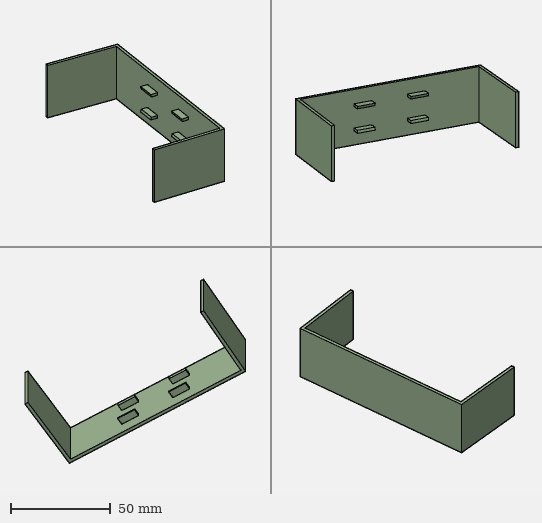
import cadquery as cq
import math

length = 105.2
depth = 41.6
height = 30.0
wall = 1.8
leg_lean = 0.7

tab_length = 9.9
tab_thickness = 1.5
tab_reach = 4.0
tab_spacing_x = 30.0
tab_outer_span_z = 14.5
tab_tip_radius = 2.9

inner_face_y = depth - wall


def channel():
    """U-shaped channel with the legs leaning slightly outwards."""
    tip_x = length / 2
    back_x = tip_x - leg_lean
    outline = [
        (-tip_x, 0),
        (-back_x, depth),
        (back_x, depth),
        (tip_x, 0),
        (tip_x - wall, 0),
        (back_x - wall, inner_face_y),
        (-back_x + wall, inner_face_y),
        (-tip_x + wall, 0),
    ]
    return cq.Workplane("XY").polyline(outline).close().extrude(height / 2, both=True)


def tab(center_x, side):
    """Tab above (side = 1) or below (side = -1) the middle, its tip rounded towards the middle."""
    outer_z = side * tab_outer_span_z / 2
    inner_z = outer_z - side * tab_thickness
    tip_y = inner_face_y - tab_reach
    tip_setback = tab_tip_radius - math.sqrt(tab_tip_radius**2 - tab_thickness**2)
    root_y = depth - wall / 2
    blank = (
        cq.Workplane("YZ")
        .moveTo(root_y, outer_z)
        .lineTo(tip_y, outer_z)
        .radiusArc((tip_y + tip_setback, inner_z), -side * tab_tip_radius)
        .lineTo(root_y, inner_z)
        .close()
        .extrude(tab_length / 2, both=True)
    )
    return blank.translate((center_x, 0, 0))


result = channel()
for x_side in (-1, 1):
    for z_side in (-1, 1):
        result = result.union(tab(x_side * tab_spacing_x / 2, z_side))